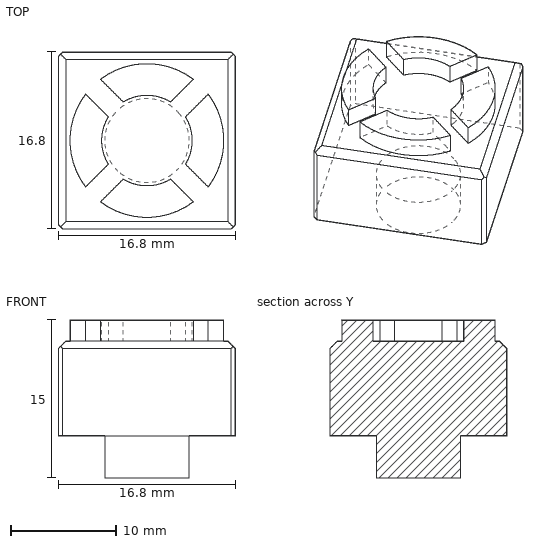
import cadquery as cq

body_side = 16.8
body_height = 9.0
top_chamfer = 0.7
corner_chamfer = 0.4

shank_diameter = 8.0
shank_length = 4.0

ring_outer_diameter = 14.6
ring_inner_diameter = 8.6
ring_height = 2.0
slot_width = 2.0
slot_angles = (45, -45)


def make_body():
    """Block with a bevelled top rim, trimmed by narrow flats on its upright corners."""
    block = cq.Workplane("XY").rect(body_side, body_side).extrude(body_height)
    bevelled = block.faces(">Z").edges().chamfer(top_chamfer)
    trimmed_prism = block.edges("|Z").chamfer(corner_chamfer)
    return bevelled.intersect(trimmed_prism)


def make_shank():
    """Plain cylinder hanging from the underside of the body."""
    return cq.Workplane("XY").circle(shank_diameter / 2).extrude(-shank_length)


def make_segmented_ring():
    """Ring cut into four segments by two crossing diagonal slots."""
    ring = (
        cq.Workplane("XY")
        .workplane(offset=body_height)
        .circle(ring_outer_diameter / 2)
        .circle(ring_inner_diameter / 2)
        .extrude(ring_height)
    )
    slot = (
        cq.Workplane("XY")
        .workplane(offset=body_height)
        .rect(body_side, slot_width)
        .extrude(ring_height)
    )
    for angle in slot_angles:
        ring = ring.cut(slot.rotate((0, 0, 0), (0, 0, 1), angle))
    return ring


result = make_body().union(make_shank()).union(make_segmented_ring())